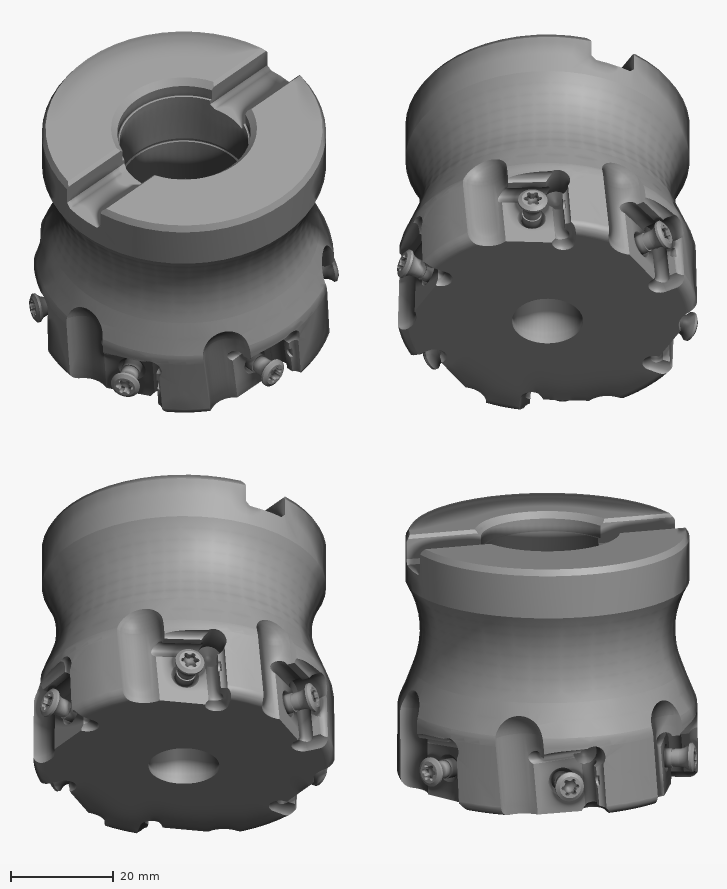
import cadquery as cq
import math

total_height = 50.1
collar_radius = 27.8
collar_bottom_z = 40.35
collar_chamfer_width = 0.7
collar_chamfer_height = 1.2
waist_radius = 24.95
waist_z = 30.2
cone_top_radius = 26.45
cone_top_z = 22.75
shoulder_radius = 29.05
shoulder_top_z = 16.3
shoulder_mid_radius = 29.3
shoulder_mid_z = 15.25
land_radius = 29.45
land_top_radius = 29.35
land_top_z = 14.25
rim_fillet = 2.15

bolt_hole_radius = 6.95
bolt_hole_chamfer = 0.4
bore_radius = 12.65
bore_relief_radius = 13.05
bore_mouth_chamfer = 1.2
bore_relief_bottom_z = 46.4
bore_floor_z = 23.95
bore_groove_z = 34.1
bore_groove_height = 0.9

slot_half_width = 4.65
slot_depth = 5.6
slot_mouth_chamfer = 0.65
slot_floor_chamfer = 0.9

half_turn_angles = (0.0, 65.0, 121.0)
station_angles = [start + angle for start in (0.0, 180.0) for angle in half_turn_angles]

seat_distance = 24.05
seat_offset = -4.25
seat_height = 6.2
seat_lean = 4.0
seat_tilt = 3.5

flute_radius = 4.85
flute_axis_out = 3.2
flute_axis_side = -9.15
flute_top = 10.5

pocket_top = 6.1
pocket_wall = 6.05
pocket_reach = 9.0
pocket_flute_end = -7.8
below_face = -12.0
relief_radius = 1.5
relief_out = 0.85
relief_inset = 0.55
edge_relief_out = 5.2
edge_relief_inset = 0.35
corner_hole_radius = 2.4
corner_hole_depth = 0.6
corner_cone_depth = 1.2
top_corner = (5.25, 5.0)
bottom_corner = (5.7, -7.4)
dimple_radius = 1.1
dimple_out = 3.85
dimple_depth = 0.5

thread_radius = 1.9
thread_depth = 4.8
thread_end = 1.2
undercut_radius = 1.7
undercut_end = 1.8
neck_radius = 1.8
neck_end = 2.75
flare_radius = 2.1
flare_middle = 3.9
head_radius = 2.9
head_rim_start = 4.8
head_rim_end = 5.25
crown_radius = 2.15
screw_length = 5.75
screw_seat_radius = 2.75
screw_seat_depth = 0.9
socket_core_radius = 1.3
socket_lobe_radius = 0.4
socket_lobe_offset = 1.4
socket_lobes = 6
socket_depth = 1.5
socket_cone_depth = 0.6


def in_station(shape, angle):
    """Move a shape from the station frame to its place on the body."""
    return (
        shape.rotate((0, 0, 0), (0, 1, 0), -seat_tilt)
        .rotate((0, 0, 0), (1, 0, 0), seat_lean)
        .translate((seat_distance, seat_offset, seat_height))
        .rotate((0, 0, 0), (0, 0, 1), angle)
    )


def rod(radius, start, end):
    """Cylinder between two points."""
    axis = cq.Vector(*end) - cq.Vector(*start)
    return cq.Workplane(cq.Solid.makeCylinder(radius, axis.Length, cq.Vector(*start), axis))


def make_blank():
    """Turned outside shape of the cutter body."""
    rim_mid = rim_fillet * (1 - math.sqrt(0.5))
    return (
        cq.Workplane("XZ")
        .moveTo(0, 0)
        .lineTo(land_radius - rim_fillet, 0)
        .threePointArc((land_radius - rim_mid, rim_mid), (land_radius, rim_fillet))
        .lineTo(land_top_radius, land_top_z)
        .threePointArc((shoulder_mid_radius, shoulder_mid_z), (shoulder_radius, shoulder_top_z))
        .lineTo(cone_top_radius, cone_top_z)
        .threePointArc((waist_radius, waist_z), (collar_radius, collar_bottom_z))
        .lineTo(collar_radius, total_height - collar_chamfer_height)
        .lineTo(collar_radius - collar_chamfer_width, total_height)
        .lineTo(0, total_height)
        .close()
        .revolve(360, (0, 0, 0), (0, 1, 0))
    )


def make_bore():
    """Stepped bore with its mouth chamfer, relief groove and bolt hole."""
    groove_top_z = bore_groove_z + bore_groove_height
    return (
        cq.Workplane("XZ")
        .moveTo(0, 0)
        .lineTo(bolt_hole_radius, 0)
        .lineTo(bolt_hole_radius, bore_floor_z - bolt_hole_chamfer)
        .lineTo(bolt_hole_radius + bolt_hole_chamfer, bore_floor_z)
        .lineTo(bore_radius, bore_floor_z)
        .lineTo(bore_radius, bore_groove_z)
        .lineTo(bore_relief_radius, bore_groove_z)
        .lineTo(bore_relief_radius, groove_top_z)
        .lineTo(bore_radius, groove_top_z)
        .lineTo(bore_radius, bore_relief_bottom_z)
        .lineTo(bore_relief_radius, bore_relief_bottom_z)
        .lineTo(bore_relief_radius, total_height - bore_mouth_chamfer)
        .lineTo(bore_relief_radius + bore_mouth_chamfer, total_height)
        .lineTo(0, total_height)
        .close()
        .revolve(360, (0, 0, 0), (0, 1, 0))
    )


def make_drive_slot():
    """Slot along Y, chamfered at its mouth and in its floor corners."""
    floor_z = total_height - slot_depth
    floor_half_width = slot_half_width - slot_floor_chamfer
    right_side = [
        (floor_half_width, floor_z),
        (slot_half_width, floor_z + slot_floor_chamfer),
        (slot_half_width, total_height - slot_mouth_chamfer),
        (slot_half_width + slot_mouth_chamfer, total_height),
    ]
    left_side = [(-x, z) for x, z in reversed(right_side)]
    return (
        cq.Workplane("XZ")
        .polyline(right_side + left_side)
        .close()
        .extrude(land_radius, both=True)
    )


def make_flute():
    """Round-bottomed chip flute with a ball end, open outwards."""
    base = (flute_axis_out, flute_axis_side, below_face)
    top = (flute_axis_out, flute_axis_side, flute_top)
    ball = cq.Workplane("XY").sphere(flute_radius).translate(top)
    opening = (
        cq.Workplane("XY")
        .box(pocket_reach, 2 * flute_radius, flute_top - below_face, centered=(False, True, False))
        .translate(base)
    )
    ball_opening = rod(flute_radius, top, (flute_axis_out + pocket_reach, flute_axis_side, flute_top))
    return rod(flute_radius, base, top).union(ball).union(opening).union(ball_opening)


def make_corner_hole():
    """Hole with a conical bottom, drilled square to the seat at the upper pocket corner."""
    return (
        cq.Workplane("XY")
        .moveTo(-corner_hole_depth - corner_cone_depth, 0)
        .lineTo(-corner_hole_depth, corner_hole_radius)
        .lineTo(pocket_reach, corner_hole_radius)
        .lineTo(pocket_reach, 0)
        .close()
        .revolve(360, (0, 0, 0), (1, 0, 0))
        .translate((0, *top_corner))
    )


def make_bottom_notch():
    """Ball-ended groove that clears the lower pocket corner and breaks through the cutting face."""
    ball_center = (0, *bottom_corner)
    ball = cq.Workplane("XY").sphere(corner_hole_radius).translate(ball_center)
    return ball.union(rod(corner_hole_radius, ball_center, (pocket_reach, *bottom_corner)))


def make_insert_pocket():
    """Seat with two stop walls, their inner and outer relief grooves, and the corner holes."""
    pocket = (
        cq.Workplane("XY")
        .box(
            pocket_reach,
            pocket_wall - pocket_flute_end,
            pocket_top - below_face,
            centered=False,
        )
        .translate((0, pocket_flute_end, below_face))
    )
    corner_side, corner_up = top_corner
    for out, inset in ((relief_out, relief_inset), (edge_relief_out, edge_relief_inset)):
        side = pocket_wall - inset
        up = pocket_top - inset
        pocket = pocket.union(rod(relief_radius, (out, side, below_face), (out, side, corner_up)))
        pocket = pocket.union(rod(relief_radius, (out, pocket_flute_end, up), (out, corner_side, up)))
    pocket = pocket.union(make_corner_hole())
    pocket = pocket.union(make_bottom_notch())
    dimple_end = pocket_wall + dimple_depth
    return pocket.union(rod(dimple_radius, (dimple_out, 0, 0), (dimple_out, dimple_end, 0)))


def make_screw_hole():
    """Tapped hole filled by the screw, with a countersunk mouth."""
    return (
        cq.Workplane("XY")
        .moveTo(-thread_depth, 0)
        .lineTo(-thread_depth, thread_radius)
        .lineTo(-screw_seat_depth, thread_radius)
        .lineTo(0, screw_seat_radius)
        .lineTo(0, 0)
        .close()
        .revolve(360, (0, 0, 0), (1, 0, 0))
    )


def make_screw():
    """Insert screw with an undercut neck, flared head and six-lobe socket."""
    screw = (
        cq.Workplane("XY")
        .moveTo(-thread_depth, 0)
        .lineTo(-thread_depth, thread_radius)
        .lineTo(thread_end, thread_radius)
        .lineTo(thread_end, undercut_radius)
        .lineTo(undercut_end, undercut_radius)
        .lineTo(undercut_end, neck_radius)
        .lineTo(neck_end, neck_radius)
        .threePointArc((flare_middle, flare_radius), (head_rim_start, head_radius))
        .lineTo(head_rim_end, head_radius)
        .lineTo(screw_length, crown_radius)
        .lineTo(screw_length, 0)
        .close()
        .revolve(360, (0, 0, 0), (1, 0, 0))
    )
    socket_floor = cq.Workplane("YZ", origin=(screw_length - socket_depth, 0, 0))
    core = socket_floor.circle(socket_core_radius).extrude(socket_depth)
    lobes = (
        socket_floor.polarArray(socket_lobe_offset, 0, 360, socket_lobes)
        .circle(socket_lobe_radius)
        .extrude(socket_depth)
    )
    point = cq.Workplane(
        cq.Solid.makeCone(
            socket_core_radius,
            0,
            socket_cone_depth,
            cq.Vector(screw_length - socket_depth, 0, 0),
            cq.Vector(-1, 0, 0),
        )
    )
    return screw.cut(core).cut(lobes).cut(point)


def make_cutter_body():
    """Cutter body with all of its stations machined."""
    body = make_blank().cut(make_bore()).cut(make_drive_slot())
    station_cuts = (make_flute(), make_insert_pocket(), make_screw_hole())
    for angle in station_angles:
        for station_cut in station_cuts:
            body = body.cut(in_station(station_cut, angle))
    return body


cutter_body = make_cutter_body()
screw = make_screw()
screws = [in_station(screw, angle).val() for angle in station_angles]

result = cq.Compound.makeCompound([cutter_body.val(), *screws])